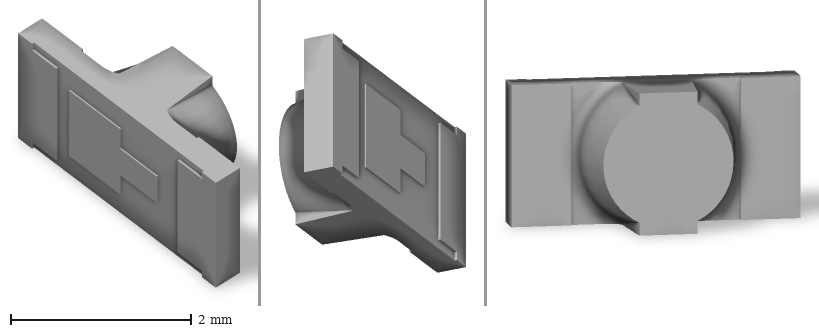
import cadquery as cq
import math

overall_length = 3.26
overall_depth = 1.13
overall_height = 1.6

plating = 0.03
board_length = overall_length - 2 * plating
board_thickness = 0.3

lens_side_reach = 0.675
full_height_reach = 0.23
pad_reach = 0.63
pad_height = 1.402

marker_thickness = 0.02
marker_left = -0.802
marker_step = 0.035
marker_right = 0.645
marker_head_height = 0.998
marker_tail_height = 0.4

lens_depth = overall_depth - board_thickness - plating
lens_tip_radius = 0.735
lens_base_radius = 0.895
toe_fillet = 0.137
block_tip_width = 0.66
block_base_width = 0.795
terminal_gap = overall_length - 2 * lens_side_reach


def box(x_range, y_range, height):
    """Box between two X and two Y limits, centred on Z = 0."""
    x_low, x_high = x_range
    y_low, y_high = y_range
    return (
        cq.Workplane("XY")
        .box(x_high - x_low, y_high - y_low, height, centered=(False, False, True))
        .translate((x_low, y_low, 0))
    )


def make_board():
    half = board_length / 2
    return box((-half, half), (-board_thickness, 0), overall_height)


def make_left_terminal():
    """Plated cap around the board end, with a narrower solder pad."""
    outer_end = -overall_length / 2
    pad_face = -board_thickness - plating
    cap = box((outer_end, outer_end + plating), (pad_face, plating), overall_height)
    lens_strap = box((outer_end, outer_end + lens_side_reach), (0, plating), overall_height)
    pad_strap = box((outer_end, outer_end + full_height_reach), (pad_face, -board_thickness), overall_height)
    pad = box((outer_end, outer_end + pad_reach), (pad_face, -board_thickness), pad_height)
    return cap.union(lens_strap).union(pad_strap).union(pad)


def make_marker():
    y_range = (-board_thickness - marker_thickness, -board_thickness)
    head = box((marker_left, marker_step), y_range, marker_head_height)
    tail = box((marker_step, marker_right), y_range, marker_tail_height)
    return head.union(tail)


def make_lens_cone():
    """Cone about Y whose concave toe fillet runs tangent into the board."""
    slope = math.atan((lens_base_radius - lens_tip_radius) / lens_depth)
    tangent_length = toe_fillet * math.tan((math.pi / 2 - slope) / 2)
    toe_radius = lens_base_radius + tangent_length
    wall_end = (
        lens_base_radius - tangent_length * math.sin(slope),
        tangent_length * math.cos(slope),
    )
    middle_dip = (math.pi / 2 + slope) / 2
    mid_point = (
        toe_radius - toe_fillet * math.cos(middle_dip),
        toe_fillet - toe_fillet * math.sin(middle_dip),
    )
    return (
        cq.Workplane("XY")
        .lineTo(toe_radius, 0)
        .threePointArc(mid_point, wall_end)
        .lineTo(lens_tip_radius, lens_depth)
        .lineTo(0, lens_depth)
        .close()
        .revolve(360, (0, 0, 0), (0, 1, 0))
    )


def make_lens():
    block = (
        cq.Workplane("XY")
        .polyline([
            (-block_base_width / 2, 0),
            (block_base_width / 2, 0),
            (block_tip_width / 2, lens_depth),
            (-block_tip_width / 2, lens_depth),
        ])
        .close()
        .extrude(overall_height / 2, both=True)
    )
    limits = box((-terminal_gap / 2, terminal_gap / 2), (0, lens_depth), overall_height)
    return make_lens_cone().intersect(limits).union(block)


board = make_board()
terminals = []
for turn in (0, 180):
    terminals.append(make_left_terminal().rotate((0, 0, 0), (0, 1, 0), turn))
marker = make_marker()
lens = make_lens()

result = cq.Compound.makeCompound([
    board.val(),
    *[terminal.val() for terminal in terminals],
    marker.val(),
    lens.val(),
])